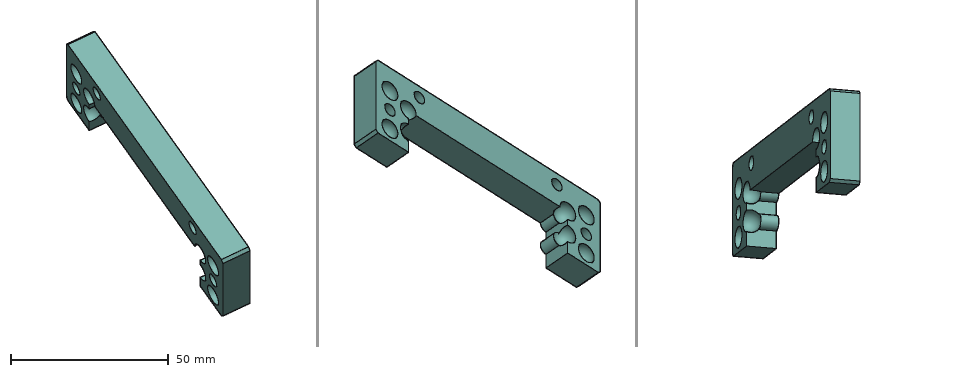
import cadquery as cq
import math

width = 98.6
thickness = 10.0
height = 30.7
leg_width = 14.4
leg_height = 17.5
corner_chamfer = 1.0

hole_diameter = 4.5
bar_hole = (19.1, 25.9)
leg_hole = (6.2, 12.9)

socket_mouth_radius = 3.5
socket_center_depth = 1.3
socket_radius = math.hypot(socket_mouth_radius, socket_center_depth)
socket_offset = 8.0
inner_socket_x = 14.3
inner_socket_heights = (8.3, 17.7)

post_radius = 2.6


def mirrored(points):
    """Return the points together with their mirror images about mid-width."""
    return points + [(width - x, z) for x, z in points]


def cylinders(points, radius):
    """Full-thickness cylinders along Y, centred on the (x, z) points."""
    return (
        cq.Workplane("XZ")
        .pushPoints(points)
        .circle(radius)
        .extrude(-thickness)
    )


def bracket_body():
    """U-shaped plate with chamfered outer corners."""
    plate = (
        cq.Workplane("XY")
        .box(width, thickness, height, centered=False)
        .edges("|Y")
        .chamfer(corner_chamfer)
    )
    opening = (
        cq.Workplane("XY")
        .box(width - 2 * leg_width, thickness, leg_height, centered=False)
        .translate((leg_width, 0, 0))
    )
    return plate.cut(opening)


def socket(x, z):
    """Ball-shaped cutter centred behind the front face and ending flat on that face."""
    return (
        cq.Workplane("XY")
        .lineTo(socket_mouth_radius, 0)
        .threePointArc(
            (socket_radius, socket_center_depth),
            (0, socket_center_depth + socket_radius),
        )
        .close()
        .revolve(360, (0, 0), (0, 1))
        .translate((x, 0, z))
    )


inner_sockets = mirrored([(inner_socket_x, z) for z in inner_socket_heights])
outer_sockets = mirrored(
    [(leg_hole[0], leg_hole[1] + side * socket_offset) for side in (-1, 1)]
)

result = bracket_body().union(cylinders(inner_sockets, post_radius))
for x, z in inner_sockets + outer_sockets:
    result = result.cut(socket(x, z))
result = result.cut(cylinders(mirrored([bar_hole, leg_hole]), hole_diameter / 2))